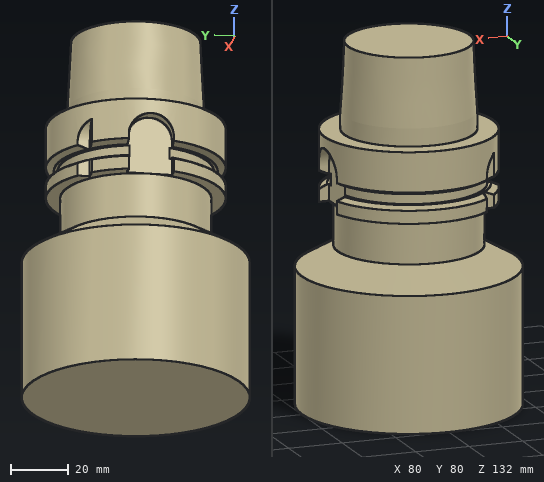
import cadquery as cq

total_height = 132.0
body_radius = 40.0
body_height = 50.2
cone_top = 58.0
neck_radius = 26.5
flange_bottom = 74.0
flange_height = 26.0
flange_radius = 31.5
spigot_radius = 24.0
spigot_tip_radius = 22.7
taper_start = 106.5

groove_radius = 27.5
groove_shoulder_radius = 28.8
groove_center = flange_bottom + 8.0
groove_floor_width = 4.0
groove_mouth_width = 6.6

key_slot_width = 16.0
wide_key_slot_width = 17.7
key_slot_floor = neck_radius
slot_arc_center = flange_bottom + 12.8
notch_wall_x = -20.0
notch_floor_y = 20.0

flange_top = flange_bottom + flange_height


def turned_body():
    """Revolve the half profile about Z."""
    floor_half = groove_floor_width / 2
    mouth_half = groove_mouth_width / 2
    profile = [
        (0, 0),
        (body_radius, 0),
        (body_radius, body_height),
        (neck_radius, cone_top),
        (neck_radius, flange_bottom),
        (flange_radius, flange_bottom),
        (flange_radius, groove_center - mouth_half),
        (groove_shoulder_radius, groove_center - floor_half),
        (groove_radius, groove_center - floor_half),
        (groove_radius, groove_center + floor_half),
        (groove_shoulder_radius, groove_center + floor_half),
        (flange_radius, groove_center + mouth_half),
        (flange_radius, flange_top),
        (spigot_radius, flange_top),
        (spigot_radius, taper_start),
        (spigot_tip_radius, total_height),
        (0, total_height),
    ]
    return cq.Workplane("XZ").polyline(profile).close().revolve(360, (0, 0), (0, 1))


def slot_cutter(width, floor, angle=0, offset=0):
    """Cutter facing +X, from its floor outward, shifted along Y, then turned about Z."""
    radius = width / 2
    depth = flange_radius - floor
    return (
        cq.Workplane("YZ", origin=(floor, offset, 0))
        .moveTo(-radius, flange_bottom)
        .lineTo(radius, flange_bottom)
        .lineTo(radius, slot_arc_center)
        .threePointArc((0, slot_arc_center + radius), (-radius, slot_arc_center))
        .close()
        .extrude(depth)
        .rotate((0, 0, 0), (0, 0, 1), angle)
    )


key_slot = slot_cutter(key_slot_width, key_slot_floor, angle=180)
wide_key_slot = slot_cutter(wide_key_slot_width, key_slot_floor)

notch_offset = key_slot_width / 2 - notch_wall_x
notch = slot_cutter(key_slot_width, notch_floor_y, angle=90, offset=notch_offset)

result = turned_body().cut(key_slot).cut(wide_key_slot).cut(notch)